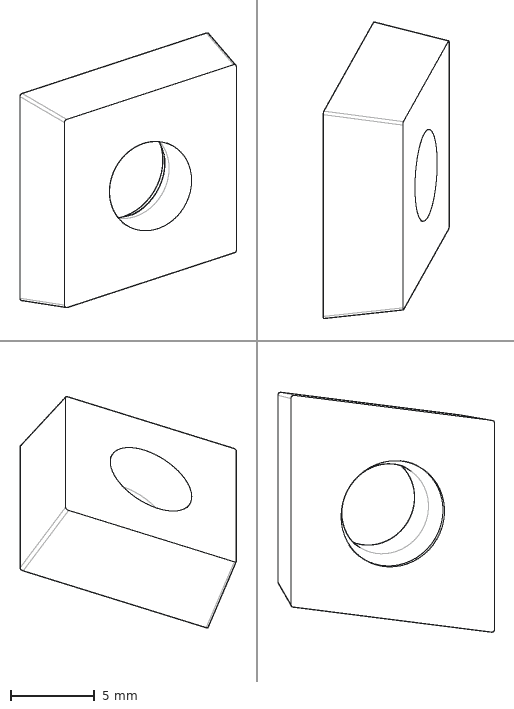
import cadquery as cq
import math

thickness = 4.76
inscribed_diameter = 12.7
skew_angle = 10
relief_angle = 7
corner_radius = 0.18

bore_diameter = 5.5
mouth_diameter = 6.45
mouth_depth = 1.78
lip_depth = 0.33


def make_body():
    """Rhombus extruded along X with relieved flanks and rounded corners."""
    half_width = inscribed_diameter / 2
    skew = math.radians(skew_angle)
    half_height = half_width / math.cos(skew)
    rise = half_width * math.tan(skew)
    outline = [
        (-half_width, -half_height - rise),
        (half_width, -half_height + rise),
        (half_width, half_height + rise),
        (-half_width, half_height - rise),
    ]
    body = cq.Workplane("YZ").polyline(outline).close().extrude(thickness, taper=relief_angle)
    corner_edges = body.edges("not(#X)")
    return corner_edges.fillet(corner_radius)


def make_hole():
    """Revolved bore with a throat arc, tangent to the bore wall, ending at the lip."""
    bore_radius = bore_diameter / 2
    mouth_radius = mouth_diameter / 2
    profile = (
        cq.Workplane("XY")
        .moveTo(0, 0)
        .lineTo(thickness, 0)
        .lineTo(thickness, bore_radius)
        .lineTo(mouth_depth, bore_radius)
        .tangentArcPoint((lip_depth, mouth_radius), relative=False)
        .lineTo(0, mouth_radius)
        .close()
    )
    return profile.revolve(360, (0, 0, 0), (1, 0, 0))


result = make_body().cut(make_hole())